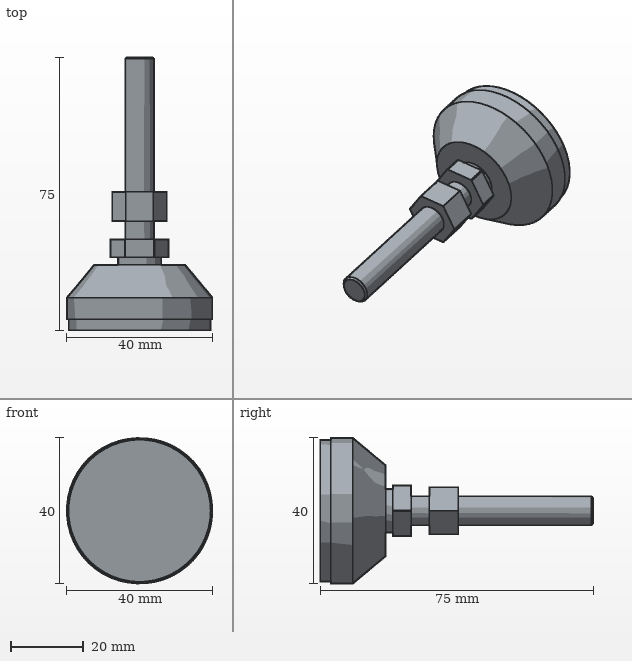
import cadquery as cq
import math

rim_start = 3.0
taper_start = 9.0
foot_top = 18.0
collar_top = 20.0
hex_top = 25.0
nut_bottom = 30.0
nut_top = 38.0
stud_end = 75.0

pad_diameter = 39.0
rim_diameter = 40.0
foot_top_diameter = 25.0
collar_diameter = 12.0
stud_diameter = 8.0
stud_chamfer = 0.5

hex_flats = 14.0
nut_flats = 13.0

hex_stock_diameter = 16.0


def turned_body():
    """Pad, rim, tapered foot, collar and stud revolved about the Y axis."""
    pad_radius = pad_diameter / 2
    rim_radius = rim_diameter / 2
    foot_top_radius = foot_top_diameter / 2
    collar_radius = collar_diameter / 2
    stud_radius = stud_diameter / 2
    half_profile = [
        (0, 0),
        (pad_radius, 0),
        (pad_radius, rim_start),
        (rim_radius, rim_start),
        (rim_radius, taper_start),
        (foot_top_radius, foot_top),
        (collar_radius, foot_top),
        (collar_radius, collar_top),
        (stud_radius, collar_top),
        (stud_radius, stud_end - stud_chamfer),
        (stud_radius - stud_chamfer, stud_end),
        (0, stud_end),
    ]
    return cq.Workplane("XY").polyline(half_profile).close().revolve(360, (0, 0), (0, 1))


def hexagon(across_flats, bottom, top):
    """Hexagonal prism along Y, with corners on X and flats facing Z."""
    across_corners = across_flats / math.cos(math.pi / 6)
    prism = cq.Workplane("XZ").polygon(6, across_corners).extrude(-(top - bottom))
    return prism.translate((0, bottom, 0))


def wrench_hexagon():
    """Hexagon above the collar, its corners trimmed by the round stock."""
    stock = cq.Workplane("XZ").circle(hex_stock_diameter / 2).extrude(-(hex_top - collar_top))
    stock = stock.translate((0, collar_top, 0))
    return hexagon(hex_flats, collar_top, hex_top).intersect(stock)


lock_nut = hexagon(nut_flats, nut_bottom, nut_top)

result = turned_body().union(wrench_hexagon()).union(lock_nut)